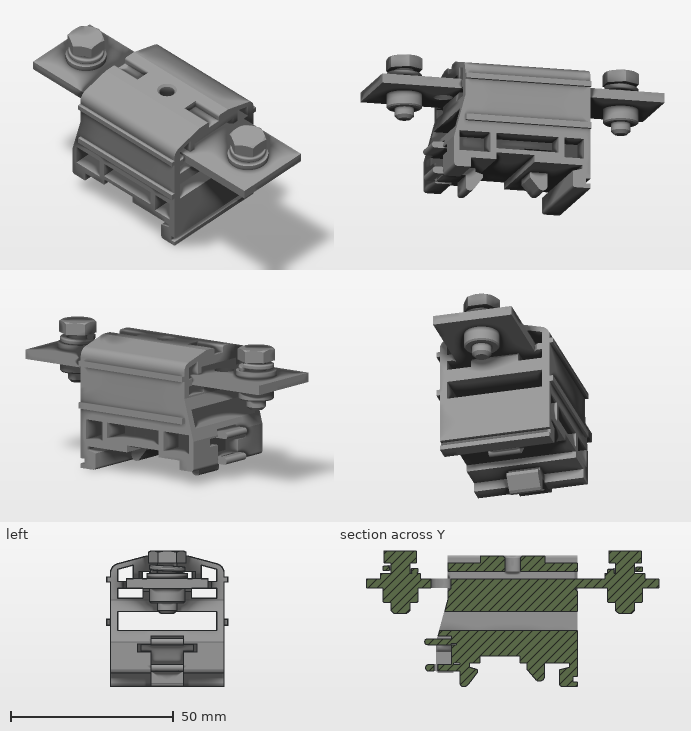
import cadquery as cq
import math


bar_length = 90
bar_width = 25.0
bar_bottom = 30.15
bar_thickness = 3.0
bar_top = bar_bottom + bar_thickness
bolt_offset = 34.5
bar_hole_x = -22.05
bar_hole_diameter = 6.0

housing_length = 40.0
housing_width = 34.9
half_length = housing_length / 2
half_width = housing_width / 2
roof_top = 40.1
roof_flat_half = 6.2
roof_pitch = 15
shoulder_radius = 3.0
selection_margin = 0.1
base_front_x = -23.5
slope_bottom = 13.7
slope_top = 26.6

block_bottom = 4.1
block_corner_radius = 1.0
block_back_x = -18.1
seat_height = 7.1
seat_recess_height = 9.3
seat_recess_start_x = -10.0
seat_recess_end_x = 2.2
jaw_root_x = 17.4
jaw_root_z = 6.0
jaw_tip_x = 14.3
jaw_tip_z = 5.2
jaw_corner_radius = 0.8
notch_depth = 1.4
notch_bottom = 1.4
notch_top = 3.1

overall_width = 37.2
rib_reach = overall_width / 2
upper_rib_bottom, upper_rib_top = 32.0, 33.7
lower_rib_bottom, lower_rib_top = 18.8, 20.7

chamber_half_width = 15.1
roof_web_outer = 10.4
side_chamber_bottom = 32.3
side_chamber_eaves = 36.0
roof_bay_half_width = 7.65
roof_bay_top = 35.3
pedestal_half_width = 7.5
floor_top = 27.2
window_bottom, window_top = 17.3, 23.0
entry_chamfer = 1.0

roof_hole_diameter = 4.7
roof_hole_mouth_diameter = 6.0
roof_slot_length = 10.0
roof_slot_half_width = 2.2
roof_slot_depth = 2.2
roof_slot_lip_radius = 0.7

pocket_depth = 7.7
pocket_top = 15.5
pocket_floor_end = 9.3
pocket_floor_middle = 10.6
front_pocket_x = (-21.8, -11.9)
middle_pocket_x = (-10.0, 9.8)
rear_pocket_x = (11.6, 17.9)
latch_window_start_x = 1.1
latch_window_depth = 1.4
latch_arm_height = 0.6
latch_barb_x = (5.0, 8.55)
latch_barb_ramp = 0.5
latch_barb_height = 0.45

foot_width = 10.0
foot_recess_depth = 4.7
arm_bottom, arm_top = 10.6, 13.1
arm_gap = 0.3
arm_slot_half_width = 9.2
arm_half_width = 8.0
arm_gap_depth = 1.4
upper_tab_tip_x = -27.1
upper_tab_bottom, upper_tab_top = 12.8, 14.8
lower_tab_tip_x = -26.8
lower_tab_bottom, lower_tab_top = 4.7, 6.8
pry_slot_x = -23.6
pry_slot_length = 7.0
pry_slot_width = 1.0
hook_back_x = -16.2
hook_heel_radius = 0.9
hook_toe_x = -14.5
hook_toe_rise = (0.8, 0.5)
hook_nose_x = -10.8
hook_nose_bottom, hook_nose_top = 4.3, 5.3
hook_neck_x = -13.2
hook_neck_bottom = 6.0
catch_front_x = 4.2
catch_front_bottom = 5.4
catch_tip_start = (6.8, 2.3)
catch_tip_low = (8.3, 1.6)
catch_tip_end = (9.8, 3.0)

head_sides = 6
head_across_flats = 10.1
head_bottom = 37.9
head_top = 41.7
head_chamfer_angle = 30
shank_diameter = 6.0
shank_tip_diameter = 4.0
shank_taper_top = 23.4
shank_bottom = 22.4
washer_diameter = 12.5
washer_top = 34.7
lock_outer_diameter = 11.0
lock_inner_diameter = 6.6
lock_thickness = 1.5
lock_edge_radius = 0.45
lock_rise = 1.35
lock_seat = 0.2
lock_turn = 350
left_split_angle = 70
right_split_angle = 180
bush_diameter = 11.0
bush_bottom = 25.7
bush_chamfer = 0.45


def box(x_range, y_range, z_range):
    """Box between pairs of limits."""
    (x0, x1), (y0, y1), (z0, z1) = x_range, y_range, z_range
    return cq.Workplane("XY").box(x1 - x0, y1 - y0, z1 - z0, centered=False).translate((x0, y0, z0))


def centred_box(x_range, half_y, z_range):
    """Box that is symmetric about the XZ plane."""
    return box(x_range, (-half_y, half_y), z_range)


def mirrored(solid, plane):
    """The solid together with its mirror image."""
    return solid.union(solid.mirror(plane))


def side_prism(outline, half_y):
    """Closed XZ outline extruded symmetrically along Y."""
    return outline.close().extrude(half_y, both=True)


def cross_prism(points, x_range=(-half_length, half_length)):
    """Closed YZ polygon extruded along X."""
    x0, x1 = x_range
    return cq.Workplane("YZ").workplane(offset=x0).polyline(points).close().extrude(x1 - x0)


def roof_height(y):
    """Height of the sloping roof at a distance y from the middle."""
    return roof_top - (y - roof_flat_half) * math.tan(math.radians(roof_pitch))


def side_body():
    """Side silhouette of the housing with the rail seat in its underside."""
    outline = (
        cq.Workplane("XZ")
        .moveTo(-half_length, roof_top)
        .lineTo(-half_length, slope_top)
        .lineTo(base_front_x, slope_bottom)
        .lineTo(base_front_x, block_bottom + block_corner_radius)
        .radiusArc((base_front_x + block_corner_radius, block_bottom), -block_corner_radius)
        .lineTo(block_back_x, block_bottom)
        .lineTo(block_back_x, seat_height)
        .lineTo(seat_recess_start_x, seat_height)
        .lineTo(seat_recess_start_x, seat_recess_height)
        .lineTo(seat_recess_end_x, seat_recess_height)
        .lineTo(seat_recess_end_x, seat_height)
        .lineTo(jaw_root_x, seat_height)
        .lineTo(jaw_root_x, jaw_root_z)
        .lineTo(jaw_tip_x, jaw_tip_z)
        .lineTo(jaw_tip_x, jaw_corner_radius)
        .radiusArc((jaw_tip_x + jaw_corner_radius, 0), -jaw_corner_radius)
        .lineTo(half_length, 0)
        .lineTo(half_length, notch_bottom)
        .lineTo(half_length - notch_depth, notch_bottom)
        .lineTo(half_length - notch_depth, notch_top)
        .lineTo(half_length, notch_top)
        .lineTo(half_length, roof_top)
    )
    return side_prism(outline, half_width)


def end_envelope():
    """Pitched roof section with rounded shoulders, long enough to cover the whole housing."""
    eaves = roof_height(half_width)
    section = cross_prism(
        [
            (-half_width, 0),
            (half_width, 0),
            (half_width, eaves),
            (roof_flat_half, roof_top),
            (-roof_flat_half, roof_top),
            (-half_width, eaves),
        ],
        (-bar_length / 2, bar_length / 2),
    )
    shoulders = cq.selectors.BoxSelector(
        (-bar_length, -housing_width, eaves - selection_margin),
        (bar_length, housing_width, eaves + selection_margin),
    )
    return section.edges("|X").edges(shoulders).fillet(shoulder_radius)


def grip_ribs():
    """Two ribs along each long side."""
    along = (-half_length, half_length)
    across = (half_width, rib_reach)
    upper = box(along, across, (upper_rib_bottom, upper_rib_top))
    lower = box(along, across, (lower_rib_bottom, lower_rib_top))
    return mirrored(upper.union(lower), "XZ")


def chambers():
    """Hollows that run through the housing from end to end."""
    along = (-half_length, half_length)
    roof_drop = roof_height(roof_web_outer) - roof_height(chamber_half_width)
    side_chamber = cross_prism(
        [
            (roof_web_outer, bar_top),
            (bar_width / 2, bar_top),
            (bar_width / 2, side_chamber_bottom),
            (chamber_half_width, side_chamber_bottom),
            (chamber_half_width, side_chamber_eaves),
            (roof_web_outer, side_chamber_eaves + roof_drop),
        ]
    )
    low_chamber = box(along, (pedestal_half_width, chamber_half_width), (floor_top, bar_bottom))
    roof_bay = centred_box(along, roof_bay_half_width, (bar_top, roof_bay_top))
    window = centred_box((base_front_x, half_length), chamber_half_width, (window_bottom, window_top))
    return mirrored(side_chamber.union(low_chamber), "XZ").union(roof_bay).union(window)


def flared_opening(y_half, z_range):
    """Opening at the -X end whose side walls are chamfered inward."""
    mouth = -half_length
    z0, z1 = z_range
    points = [
        (mouth, -y_half - entry_chamfer),
        (mouth, y_half + entry_chamfer),
        (mouth + entry_chamfer, y_half),
        (mouth + entry_chamfer, -y_half),
    ]
    return cq.Workplane("XY").workplane(offset=z0).polyline(points).close().extrude(z1 - z0)


def bar_entries():
    """Chamfered lead-ins around the bar at both ends of the housing."""
    mouth = -half_length
    pedestal_chamfer = side_prism(
        cq.Workplane("XZ")
        .moveTo(mouth, bar_bottom)
        .lineTo(mouth, bar_bottom - entry_chamfer)
        .lineTo(mouth + entry_chamfer, bar_bottom),
        pedestal_half_width,
    )
    entry = (
        flared_opening(bar_width / 2, (bar_bottom, side_chamber_bottom))
        .union(flared_opening(roof_bay_half_width, (bar_top, roof_bay_top)))
        .union(pedestal_chamfer)
    )
    return mirrored(entry, "YZ")


def roof_slots():
    """Open-ended slots in the roof with rounded lips."""
    lip_half = roof_slot_half_width + roof_slot_lip_radius
    lip_z = roof_top - roof_slot_lip_radius
    floor_z = roof_top - roof_slot_depth
    slot = (
        cq.Workplane("YZ")
        .workplane(offset=-half_length)
        .moveTo(-lip_half, roof_top)
        .radiusArc((-roof_slot_half_width, lip_z), roof_slot_lip_radius)
        .lineTo(-roof_slot_half_width, floor_z)
        .lineTo(roof_slot_half_width, floor_z)
        .lineTo(roof_slot_half_width, lip_z)
        .radiusArc((lip_half, roof_top), roof_slot_lip_radius)
        .close()
        .extrude(roof_slot_length)
    )
    return mirrored(slot, "YZ")


def roof_hole():
    """Hole through the roof with a countersunk mouth."""
    mouth_depth = (roof_hole_mouth_diameter - roof_hole_diameter) / 2
    profile = (
        cq.Workplane("XZ")
        .moveTo(0, roof_bay_top)
        .lineTo(roof_hole_diameter / 2, roof_bay_top)
        .lineTo(roof_hole_diameter / 2, roof_top - mouth_depth)
        .lineTo(roof_hole_mouth_diameter / 2, roof_top)
        .lineTo(0, roof_top)
        .close()
    )
    return profile.revolve(360, (0, 0), (0, 1))


def side_pockets():
    """Blind pockets in both long sides, with a latch window behind the middle one."""
    back = half_width - pocket_depth
    across = (back, half_width)
    front = box(front_pocket_x, across, (pocket_floor_end, pocket_top))
    middle = box(middle_pocket_x, across, (pocket_floor_middle, pocket_top))
    rear = box(rear_pocket_x, across, (pocket_floor_end, pocket_top))
    window_x = (latch_window_start_x, middle_pocket_x[1])
    latch_z = (arm_bottom + arm_gap, arm_top - arm_gap)
    window_back = back - latch_window_depth
    window = box(window_x, (window_back, back), (arm_bottom, arm_top))
    arm_face = window_back + latch_arm_height
    barb_start, barb_end = latch_barb_x
    latch_arm = box((latch_window_start_x, barb_end), (window_back, arm_face), latch_z)
    latch_bottom, latch_top = latch_z
    barb = (
        cq.Workplane("XY")
        .workplane(offset=latch_bottom)
        .moveTo(barb_start, arm_face)
        .lineTo(barb_start + latch_barb_ramp, arm_face + latch_barb_height)
        .lineTo(barb_end, arm_face + latch_barb_height)
        .lineTo(barb_end, arm_face)
        .close()
        .extrude(latch_top - latch_bottom)
    )
    open_window = window.cut(latch_arm).cut(barb)
    return mirrored(front.union(middle).union(rear).union(open_window), "XZ")


def foot_recess():
    """T-shaped recess in the base face, open below, with a gap around the arms at its back."""
    back_x = base_front_x + foot_recess_depth
    half_foot = foot_width / 2
    recess_x = (base_front_x, back_x)
    gap_x = (back_x, back_x + arm_gap_depth)
    stem = centred_box(recess_x, half_foot, (lower_tab_bottom, pocket_top))
    channel = centred_box((base_front_x, block_back_x), half_foot, (block_bottom, lower_tab_bottom))
    arms = centred_box(recess_x, arm_slot_half_width, (arm_bottom, arm_top))
    gap = centred_box(gap_x, arm_slot_half_width, (arm_bottom, arm_top))
    arm_core = centred_box(gap_x, arm_half_width, (arm_bottom + arm_gap, arm_top - arm_gap))
    stem_core = centred_box(gap_x, half_foot, (arm_bottom, arm_top - arm_gap))
    return stem.union(channel).union(arms).union(gap.cut(arm_core).cut(stem_core))


def round_tipped_tab(tip_x, root_x, bottom, top):
    """Flat tab pointing toward -X with a fully rounded tip."""
    radius = (top - bottom) / 2
    outline = (
        cq.Workplane("XZ")
        .moveTo(root_x, bottom)
        .lineTo(tip_x + radius, bottom)
        .threePointArc((tip_x, bottom + radius), (tip_x + radius, top))
        .lineTo(root_x, top)
    )
    return side_prism(outline, foot_width / 2)


def foot_hooks():
    """Rail hooks below the seat: the sliding hook and the spring catch."""
    toe_run, toe_rise = hook_toe_rise
    sliding_hook = side_prism(
        cq.Workplane("XZ")
        .moveTo(hook_back_x, seat_height)
        .lineTo(hook_back_x, hook_heel_radius)
        .radiusArc((hook_back_x + hook_heel_radius, 0), -hook_heel_radius)
        .lineTo(hook_toe_x, 0)
        .lineTo(hook_toe_x + toe_run, toe_rise)
        .lineTo(hook_nose_x, hook_nose_bottom)
        .lineTo(hook_nose_x, hook_nose_top)
        .lineTo(hook_neck_x, hook_neck_bottom)
        .lineTo(hook_neck_x, seat_height),
        foot_width / 2,
    )
    catch_back_x, _ = catch_tip_end
    catch = side_prism(
        cq.Workplane("XZ")
        .moveTo(catch_front_x, seat_height)
        .lineTo(catch_front_x, catch_front_bottom)
        .lineTo(*catch_tip_start)
        .threePointArc(catch_tip_low, catch_tip_end)
        .lineTo(catch_back_x, seat_height),
        foot_width / 2,
    )
    return sliding_hook.union(catch)


def sliding_foot():
    """Tabs and hooks of the sliding foot."""
    tab_root_x = base_front_x + foot_recess_depth
    upper_tab = round_tipped_tab(upper_tab_tip_x, tab_root_x, upper_tab_bottom, upper_tab_top)
    lower_tab = round_tipped_tab(lower_tab_tip_x, hook_back_x, lower_tab_bottom, lower_tab_top)
    pry_slot = (
        cq.Workplane("XY")
        .workplane(offset=lower_tab_bottom)
        .center(pry_slot_x, 0)
        .slot2D(pry_slot_length, pry_slot_width, 90)
        .extrude(lower_tab_top - lower_tab_bottom)
    )
    return upper_tab.union(lower_tab.cut(pry_slot)).union(foot_hooks())


def bus_bar():
    """Flat bar that passes through the housing."""
    return centred_box((-bar_length / 2, bar_length / 2), bar_width / 2, (bar_bottom, bar_top))


def bar_hole():
    """Open hole through the bar, partly inside the mouth of the housing."""
    return (
        cq.Workplane("XY")
        .workplane(offset=bar_bottom)
        .center(bar_hole_x, 0)
        .circle(bar_hole_diameter / 2)
        .extrude(bar_top - bar_bottom)
    )


def bolt_head():
    """Hexagon with flats facing +X and -X and a chamfered top."""
    half_side_angle = 180 / head_sides
    across_corners = head_across_flats / math.cos(math.radians(half_side_angle))
    height = head_top - head_bottom
    hexagon = cq.Workplane("XY").polygon(head_sides, across_corners).extrude(height)
    hexagon = hexagon.rotate((0, 0, 0), (0, 0, 1), half_side_angle)
    flat_radius = head_across_flats / 2
    corner_radius = across_corners / 2
    chamfer_drop = (corner_radius - flat_radius) * math.tan(math.radians(head_chamfer_angle))
    turned_blank = (
        cq.Workplane("XZ")
        .lineTo(corner_radius, 0)
        .lineTo(corner_radius, height - chamfer_drop)
        .lineTo(flat_radius, height)
        .lineTo(0, height)
        .close()
        .revolve(360, (0, 0), (0, 1))
    )
    return hexagon.intersect(turned_blank).translate((0, 0, head_bottom))


def bolt_stack():
    """Shank, flat washer and bush of one bolt as a single turned shape."""
    return (
        cq.Workplane("XZ")
        .moveTo(0, shank_bottom)
        .lineTo(shank_tip_diameter / 2, shank_bottom)
        .lineTo(shank_diameter / 2, shank_taper_top)
        .lineTo(shank_diameter / 2, bush_bottom)
        .lineTo(bush_diameter / 2 - bush_chamfer, bush_bottom)
        .lineTo(bush_diameter / 2, bush_bottom + bush_chamfer)
        .lineTo(bush_diameter / 2, bar_top)
        .lineTo(washer_diameter / 2, bar_top)
        .lineTo(washer_diameter / 2, washer_top)
        .lineTo(shank_diameter / 2, washer_top)
        .lineTo(shank_diameter / 2, head_bottom)
        .lineTo(0, head_bottom)
        .close()
        .revolve(360, (0, 0), (0, 1))
    )


def lock_washer(split_angle):
    """Split spring washer whose ends part at the given angle about Z."""
    inner = lock_inner_diameter / 2
    outer = lock_outer_diameter / 2
    middle = (inner + outer) / 2
    path = cq.Wire.makeHelix(lock_rise, lock_rise * lock_turn / 360, middle, lefthand=True)
    section = cq.Sketch().rect(outer - inner, lock_thickness).vertices().fillet(lock_edge_radius)
    ring = (
        cq.Workplane("XZ")
        .center(middle, lock_thickness / 2)
        .placeSketch(section)
        .sweep(cq.Workplane(path), isFrenet=True)
    )
    return ring.rotate((0, 0, 0), (0, 0, 1), split_angle).translate((0, 0, washer_top - lock_seat))


def bolt(x, split_angle):
    """Complete bolt with its washers and bush."""
    return bolt_stack().union(bolt_head()).union(lock_washer(split_angle)).translate((x, 0, 0))


housing = side_body().intersect(end_envelope()).union(grip_ribs())
for hollow in (chambers(), bar_entries(), roof_slots(), roof_hole(), side_pockets(), foot_recess()):
    housing = housing.cut(hollow)

result = (
    housing.union(sliding_foot())
    .union(bus_bar())
    .cut(bar_hole())
    .union(bolt(-bolt_offset, left_split_angle))
    .union(bolt(bolt_offset, right_split_angle))
)